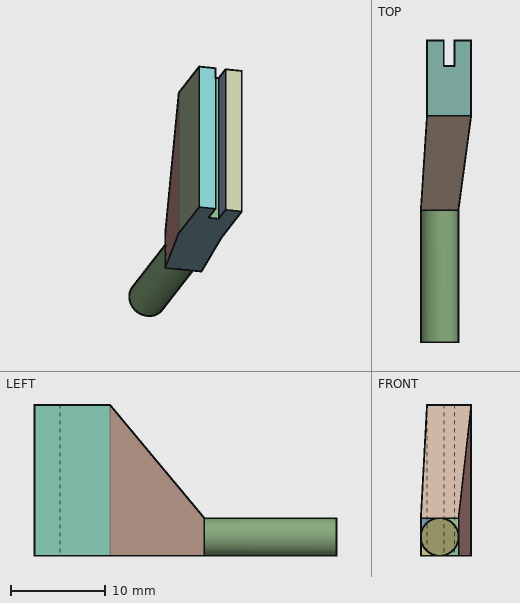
import cadquery as cq

rod_diameter = 4.0
rod_length = 14.0

neck_length = 10.0
tail_length = 8.0
tail_width = 4.7
tail_height = 16.0
overall_width = 5.35

slot_width = 1.1
slot_depth = 2.7

rod_radius = rod_diameter / 2
bottom_z = -rod_radius
neck_start_y = rod_length
tail_start_y = neck_start_y + neck_length
tail_end_y = tail_start_y + tail_length
tail_right_x = overall_width - rod_radius
tail_left_x = tail_right_x - tail_width
tail_center_x = (tail_left_x + tail_right_x) / 2
slot_center_y = tail_end_y - slot_depth / 2


def make_rod():
    return cq.Workplane("XZ").circle(rod_radius).extrude(-rod_length)


def make_blade():
    """Plan outline raised to full height, trimmed by the sloping side profile."""
    plan = (
        cq.Workplane("XY", origin=(0, 0, bottom_z))
        .moveTo(-rod_radius, neck_start_y)
        .lineTo(rod_radius, neck_start_y)
        .lineTo(tail_right_x, tail_start_y)
        .lineTo(tail_right_x, tail_end_y)
        .lineTo(tail_left_x, tail_end_y)
        .lineTo(tail_left_x, tail_start_y)
        .close()
        .extrude(tail_height)
    )
    side_profile = (
        cq.Workplane("YZ", origin=(-rod_radius, 0, 0))
        .moveTo(neck_start_y, bottom_z)
        .lineTo(tail_end_y, bottom_z)
        .lineTo(tail_end_y, bottom_z + tail_height)
        .lineTo(tail_start_y, bottom_z + tail_height)
        .lineTo(neck_start_y, rod_radius)
        .close()
        .extrude(overall_width)
    )
    return plan.intersect(side_profile)


def make_slot():
    return (
        cq.Workplane("XY", origin=(tail_center_x, slot_center_y, bottom_z))
        .rect(slot_width, slot_depth)
        .extrude(tail_height)
    )


result = make_blade().cut(make_slot()).union(make_rod())